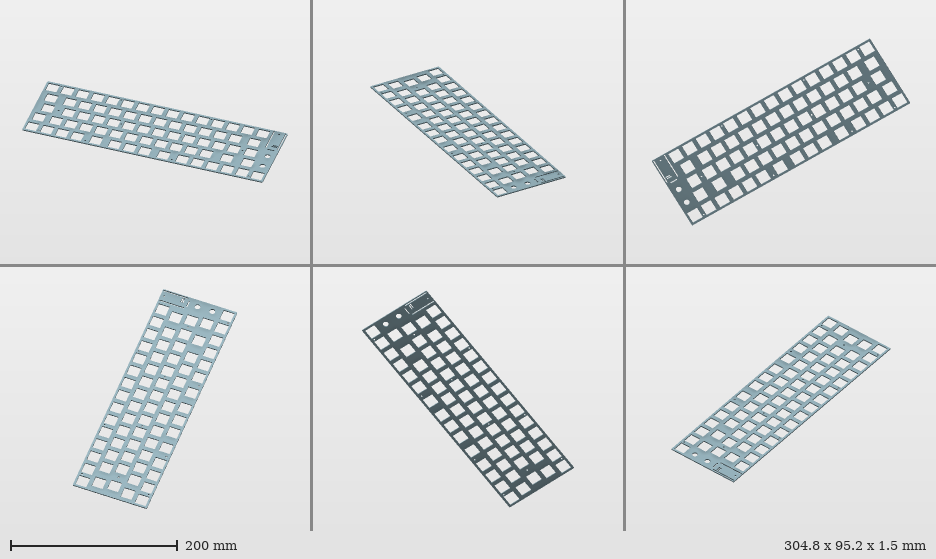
import cadquery as cq

length = 304.8
thickness = 1.5
corner_radius = 1.0

pitch = length / 16
width = 5 * pitch

switch_side = 0.735 * pitch
switch_corner_radius = 0.5

key_rows = [
    [0.5 + key for key in range(15)],
    [0.75] + [2.0 + key for key in range(12)] + [14.25],
    [0.875] + [2.25 + key for key in range(12)] + [14.375],
    [0.625] + [1.75 + key for key in range(11)] + [13.125, 14.5],
    [0.5, 1.5, 2.5, 3.5, 4.75, 6.0, 7.0, 8.0, 9.25] + [10.5 + key for key in range(6)],
]

screw_diameter = 2.2
screw_rows = {
    0.25: [1.0, 5.0, 11.0, 15.5],
    2.5: [1.58, 5.75, 9.75, 13.83],
    4.75: [1.0, 4.125, 9.875, 15.0],
}

large_hole_diameter = 7.0
large_hole_places = [(15.5, 2.5), (15.5, 3.5)]

slot_width = 1.5
long_slot_start = 1.0
long_slot_end = 33.2
long_slot_lefts = [287.0, 302.0]
cross_slots = [(294.7, 301.0, 26.0), (293.8, 300.8, 28.0), (290.5, 300.0, 34.7)]


def place(from_left, from_rear):
    """Plate coordinates of a point given by its distances from the left and rear edges."""
    return (from_left - length / 2, width / 2 - from_rear)


def key_place(column, row):
    """Plate coordinates of a point given in key units from the left and rear edges."""
    return place(column * pitch, row * pitch)


def make_plate():
    plate = cq.Workplane("XY").box(length, width, thickness, centered=(True, True, False))
    return plate.edges("|Z").fillet(corner_radius)


def switch_openings():
    points = []
    for row, columns in enumerate(key_rows):
        points += [key_place(column, row + 0.5) for column in columns]
    openings = cq.Workplane("XY").pushPoints(points).rect(switch_side, switch_side).extrude(thickness)
    return openings.edges("|Z").fillet(switch_corner_radius)


def round_holes(points, diameter):
    return cq.Workplane("XY").pushPoints(points).circle(diameter / 2).extrude(thickness)


def slot(left, right, rear, front):
    """Slot filling a rectangle, its short ends rounded."""
    along_x = right - left
    along_y = front - rear
    angle = 90 if along_y > along_x else 0
    middle = place((left + right) / 2, (rear + front) / 2)
    outline = cq.Workplane("XY").center(*middle)
    return outline.slot2D(max(along_x, along_y), min(along_x, along_y), angle).extrude(thickness)


screw_points = [key_place(column, row) for row, columns in screw_rows.items() for column in columns]
large_hole_points = [key_place(column, row) for column, row in large_hole_places]

result = make_plate()
result = result.cut(switch_openings())
result = result.cut(round_holes(screw_points, screw_diameter))
result = result.cut(round_holes(large_hole_points, large_hole_diameter))

for left in long_slot_lefts:
    result = result.cut(slot(left, left + slot_width, long_slot_start, long_slot_end))
for left, right, rear in cross_slots:
    result = result.cut(slot(left, right, rear, rear + slot_width))